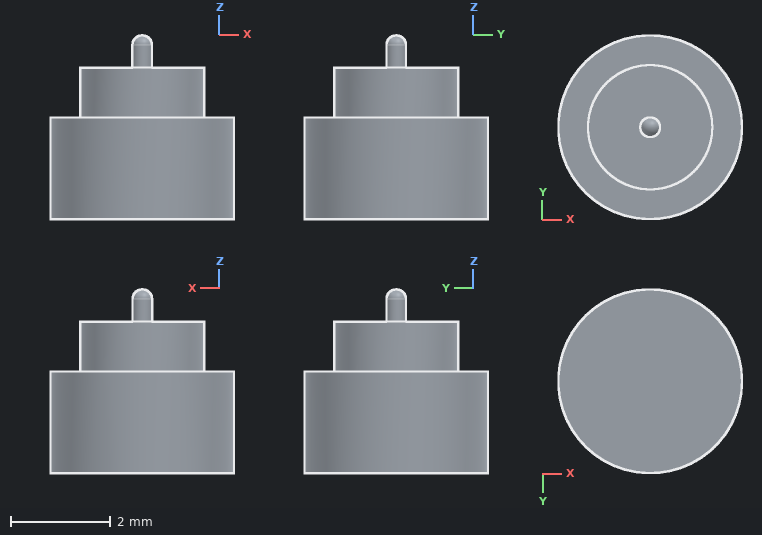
import cadquery as cq

total_height = 3.7
base_diameter = 3.7
base_height = 2.05
collar_diameter = 2.5
collar_height = 1.0
pin_diameter = 0.4

pin_radius = pin_diameter / 2
collar_top = base_height + collar_height
pin_shoulder = total_height - pin_radius


def cylinder(diameter, bottom, top):
    """Upright cylinder on the Z axis between two heights."""
    return cq.Workplane("XY").workplane(offset=bottom).circle(diameter / 2).extrude(top - bottom)


base = cylinder(base_diameter, 0, base_height)
collar = cylinder(collar_diameter, base_height, collar_top)

tip_offset = pin_radius * 0.5 ** 0.5
pin = (
    cq.Workplane("XZ")
    .moveTo(0, collar_top)
    .lineTo(pin_radius, collar_top)
    .lineTo(pin_radius, pin_shoulder)
    .threePointArc((tip_offset, pin_shoulder + tip_offset), (0, total_height))
    .close()
    .revolve(360, (0, 0, 0), (0, 1, 0))
)

result = base.union(collar).union(pin)